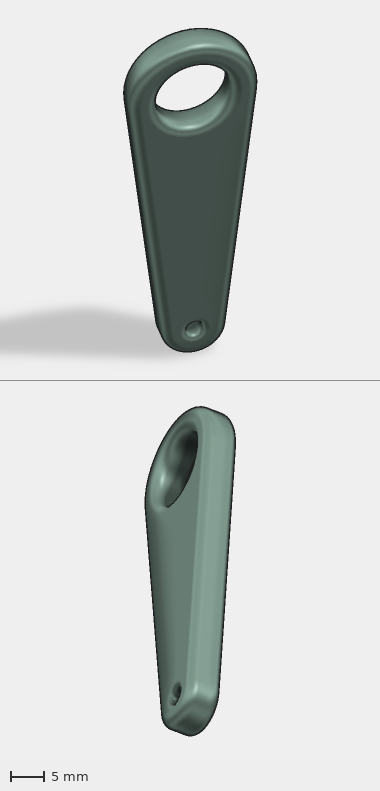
import cadquery as cq
import math

length = 61.0
thickness = 5.5
large_radius = 10.0
small_radius = large_radius / 2
large_hole_diameter = 11.8
small_hole_diameter = 2.5
edge_fillet = 1.5
small_hole_fillet = 1.05

small_center_z = -(length - large_radius - small_radius)


def tapered_outline():
    """Two round ends joined by straight sides tangent to both."""
    sine = (large_radius - small_radius) / -small_center_z
    cosine = math.sqrt(1 - sine**2)
    large_y, large_z = large_radius * cosine, -large_radius * sine
    small_y, small_z = small_radius * cosine, small_center_z - small_radius * sine
    return (
        cq.Workplane("YZ")
        .moveTo(large_y, large_z)
        .threePointArc((0, large_radius), (-large_y, large_z))
        .lineTo(-small_y, small_z)
        .threePointArc((0, small_center_z - small_radius), (small_y, small_z))
        .close()
    )


def drill_rounded_hole(part, diameter, center_z, rim_fillet):
    """Drill through along X and round both rims."""
    drill = (
        cq.Workplane("YZ")
        .center(0, center_z)
        .circle(diameter / 2)
        .extrude(thickness / 2, both=True)
    )
    drilled = part.cut(drill)
    rims = drilled.faces("<X or >X").edges("%CIRCLE").filter(
        lambda edge: math.isclose(edge.radius(), diameter / 2, rel_tol=1e-6)
    )
    return rims.fillet(rim_fillet)


body = tapered_outline().extrude(thickness / 2, both=True)
body = body.faces("<X or >X").edges().fillet(edge_fillet)

result = drill_rounded_hole(body, large_hole_diameter, 0, edge_fillet)
result = drill_rounded_hole(result, small_hole_diameter, small_center_z, small_hole_fillet)